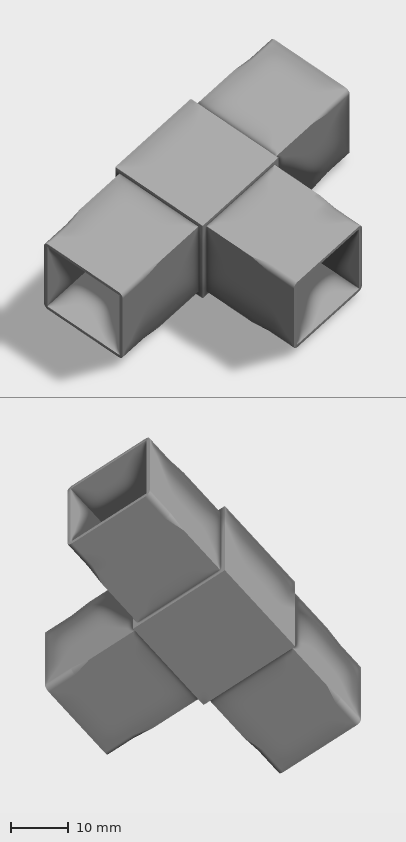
import cadquery as cq
import math

total_length = 60.0
hub_size = total_length / 3
arm_length = hub_size
arm_width = 18.0
bore_width = 16.5
corner_radius = 1.0
rounded_length = 5.75
runout_radius = 18.0
runout_angle = 20.0

arm_tip = hub_size / 2 + arm_length
corner_offset = arm_width / 2


def corner_section(height):
    """Material outside the rounded corner of an arm, at the given height."""
    tangent = corner_offset - corner_radius
    arc_middle = tangent + corner_radius / math.sqrt(2)
    return (
        cq.Workplane("XY", origin=(0, 0, height))
        .moveTo(tangent, corner_offset)
        .threePointArc((arc_middle, arc_middle), (corner_offset, tangent))
        .lineTo(corner_offset, corner_offset)
        .close()
    )


def corner_cutter():
    """Straight rounding followed by an arc that runs outward off the corner."""
    runout_start = arm_tip - rounded_length
    straight = corner_section(runout_start).extrude(rounded_length)
    pivot = corner_offset + runout_radius / math.sqrt(2)
    runout = corner_section(runout_start).revolve(
        runout_angle, (pivot, pivot, 0), (pivot + 0.6, pivot - 0.6, 0)
    )
    return straight.union(runout)


def square_bar(width):
    """Square bar from the hub centre up to the arm tip."""
    return cq.Workplane("XY").rect(width, width).extrude(arm_tip)


def upright_arm():
    """Arm pointing along +Z with its four end corners rounded."""
    arm = square_bar(arm_width)
    cutter = corner_cutter()
    for quarter_turn in range(4):
        arm = arm.cut(cutter.rotate((0, 0, 0), (0, 0, 1), 90 * quarter_turn))
    return arm


def along_each_arm(upright):
    """Copies of an upright shape turned to +X, +Y and -Y."""
    along_x = upright.rotate((0, 0, 0), (0, 1, 0), 90)
    return [along_x.rotate((0, 0, 0), (0, 0, 1), angle) for angle in (0, 90, -90)]


result = cq.Workplane("XY").box(hub_size, hub_size, hub_size)
for arm in along_each_arm(upright_arm()):
    result = result.union(arm)

result = result.cut(cq.Workplane("XY").box(bore_width, bore_width, bore_width))
for bore in along_each_arm(square_bar(bore_width)):
    result = result.cut(bore)